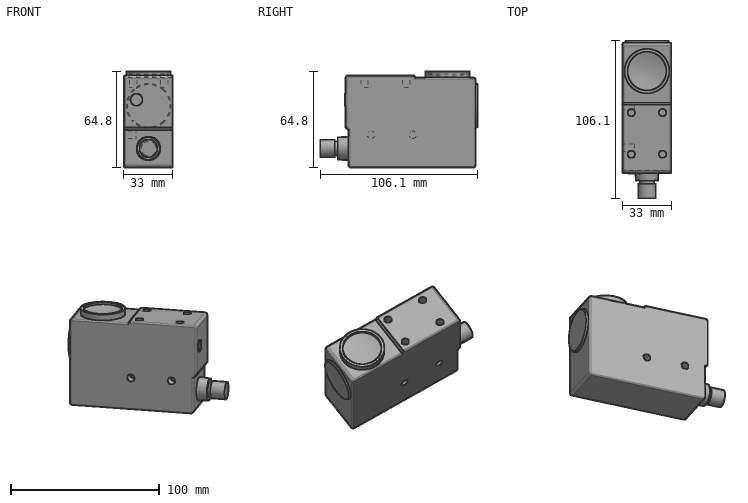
import cadquery as cq
import math

width = 33.0
length = 87.7
height = 62.2
top_step = 1.4
pad_start = 41.8
front_step = 2.0
front_step_z = 25.3
corner_radius = 2.0
side_radius = 1.0

lens_diameter = 30.0
top_lens_height = 4.0
top_lens_from_rear = 19.1
dish_diameter = 26.0
dish_wall = 1.5
dish_sag = 1.8
rear_lens_height = 1.4
rear_lens_face_diameter = 28.8
rear_lens_z = 41.8

indicator_diameter = 8.1
indicator_height = 0.5
indicator_x = -8.1
indicator_z = 45.7

connector_z = 12.9
nut_base_diameter = 16.0
nut_end_diameter = 15.1
nut_length = 7.1
neck_diameter = 10.0
neck_length = 1.9
plug_diameter = 12.0
plug_length = 10.0

hole_diameter = 5.0
hole_depth = 8.0
hole_pitch_y = 28.0
top_hole_pitch_x = 21.0
top_holes_from_rear = 47.0
side_holes_from_rear = 42.5
side_hole_z = 22.3

roof_z = height - top_step
lower_front_y = front_step - length


def make_housing():
    """Stepped side profile with rounded corners and softened side edges."""
    profile = [
        (0, 0),
        (0, roof_z),
        (top_step - pad_start, roof_z),
        (-pad_start, height),
        (-length, height),
        (-length, front_step_z + front_step),
        (lower_front_y, front_step_z),
        (lower_front_y, 0),
    ]
    outer_corners = [(0, 0), (0, roof_z), (-length, height), (lower_front_y, 0)]
    body = cq.Workplane("YZ").polyline(profile).close().extrude(width / 2, both=True)
    for y, z in outer_corners:
        edge = cq.selectors.NearestToPointSelector((0, y, z))
        body = body.edges("|X").edges(edge).fillet(corner_radius)
    return body.faces("<X or >X").edges().fillet(side_radius)


def make_top_lens():
    """Raised ring holding a concave spherical dish."""
    dish_radius = dish_diameter / 2
    rim_z = top_lens_height - dish_wall
    sphere_radius = (dish_radius**2 + dish_sag**2) / (2 * dish_sag)
    sphere_centre_z = rim_z - dish_sag + sphere_radius
    half_angle = math.asin(dish_radius / sphere_radius) / 2
    arc_middle = (
        sphere_radius * math.sin(half_angle),
        sphere_centre_z - sphere_radius * math.cos(half_angle),
    )
    lens = (
        cq.Workplane("XZ")
        .lineTo(lens_diameter / 2, 0)
        .lineTo(lens_diameter / 2, top_lens_height)
        .lineTo(dish_radius, top_lens_height)
        .lineTo(dish_radius, rim_z)
        .threePointArc(arc_middle, (0, rim_z - dish_sag))
        .close()
        .revolve(360, (0, 0), (0, 1))
    )
    return lens.translate((0, -top_lens_from_rear, roof_z))


def make_rear_lens():
    """Shallow cone frustum on the rear face."""
    lens = cq.Solid.makeCone(
        lens_diameter / 2,
        rear_lens_face_diameter / 2,
        rear_lens_height,
        cq.Vector(0, 0, rear_lens_z),
        cq.Vector(0, 1, 0),
    )
    return cq.Workplane(lens)


def make_indicator():
    disc = cq.Workplane("XZ").circle(indicator_diameter / 2).extrude(indicator_height)
    return disc.translate((indicator_x, -length, indicator_z))


def make_connector():
    """Tapered nut, narrow neck and plug turned about one axis."""
    neck_y = lower_front_y - nut_length
    plug_y = neck_y - neck_length
    end_y = plug_y - plug_length
    connector = (
        cq.Workplane("YZ")
        .moveTo(lower_front_y, 0)
        .lineTo(lower_front_y, nut_base_diameter / 2)
        .lineTo(neck_y, nut_end_diameter / 2)
        .lineTo(neck_y, neck_diameter / 2)
        .lineTo(plug_y, neck_diameter / 2)
        .lineTo(plug_y, plug_diameter / 2)
        .lineTo(end_y, plug_diameter / 2)
        .lineTo(end_y, 0)
        .close()
        .revolve(360, (0, 0), (1, 0))
    )
    return connector.translate((0, 0, connector_z))


def make_mounting_holes():
    """Four holes down from the pad and two in from the -X side."""
    radius = hole_diameter / 2
    holes = cq.Workplane()
    for row in range(2):
        top_y = -top_holes_from_rear - row * hole_pitch_y
        for x in (-top_hole_pitch_x / 2, top_hole_pitch_x / 2):
            top_hole = cq.Solid.makeCylinder(
                radius, hole_depth, cq.Vector(x, top_y, height), cq.Vector(0, 0, -1)
            )
            holes = holes.add(top_hole)
        side_y = -side_holes_from_rear - row * hole_pitch_y
        side_hole = cq.Solid.makeCylinder(
            radius, hole_depth, cq.Vector(-width / 2, side_y, side_hole_z), cq.Vector(1, 0, 0)
        )
        holes = holes.add(side_hole)
    return holes.combine()


result = (
    make_housing()
    .union(make_top_lens())
    .union(make_rear_lens())
    .union(make_indicator())
    .union(make_connector())
    .cut(make_mounting_holes())
)